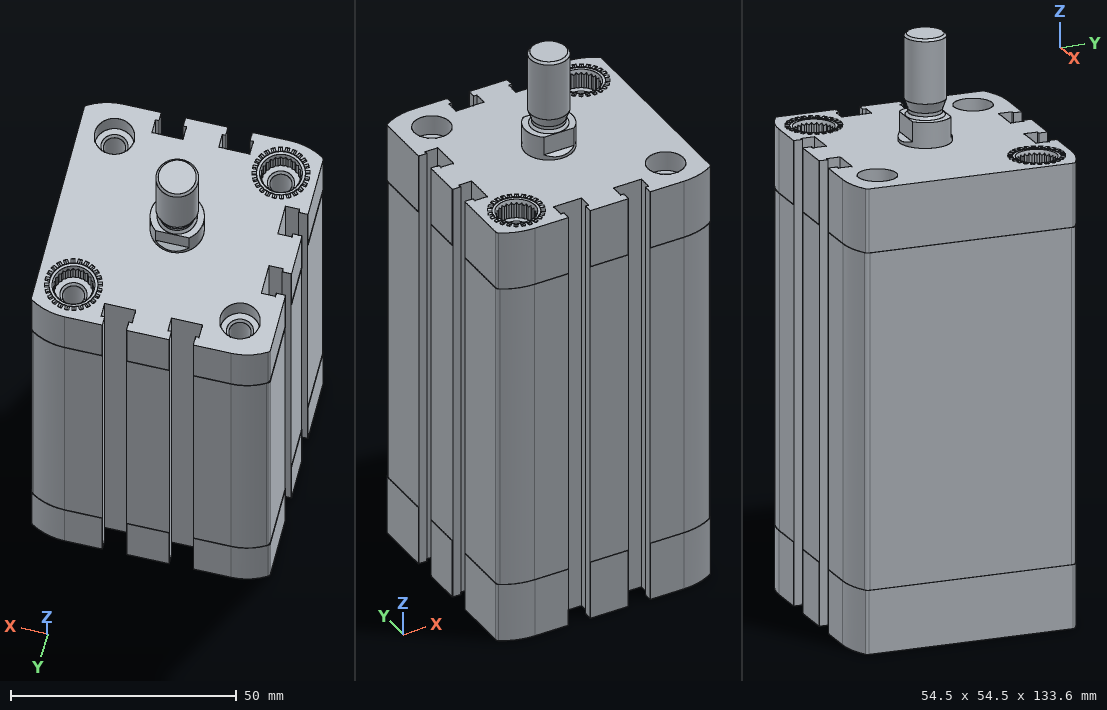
import cadquery as cq
import math


TOTAL_HEIGHT = 133.6
HOUSING_HEIGHT = 108.6
ROD_LENGTH = TOTAL_HEIGHT - HOUSING_HEIGHT

CAP_WIDTH = 54.5
CAP_HEIGHT = 15.0
BARREL_INSET = 0.1
BARREL_WIDTH = CAP_WIDTH - 2 * BARREL_INSET
BARREL_HEIGHT = HOUSING_HEIGHT - 2 * CAP_HEIGHT

HOLE_OFFSET = 19.0
HOLE_DIAMETER = 5.0
HOLE_MOUTH_DIAMETER = 6.0
COUNTERBORE_DIAMETER = 9.0
COUNTERBORE_DEPTH = 5.0

CORNER_START = HOLE_OFFSET
CORNER_RADIUS = 15.0
CAP_EDGE_RADIUS = 0.8
BARREL_EDGE_RADIUS = 1.2

SLOT_SIDE_ANGLES = (90, 180, 270)
SLOT_OFFSET = 7.6
SLOT_DEPTH = 5.3
SLOT_LIP_DEPTH = 2.1
SLOT_INNER_WIDTH = 7.1
SLOT_MOUTH_WIDTH = 5.5
LIP_CHAMFER = BARREL_INSET

TOOTH_COUNT = 24
RIM_DIAMETER = 12.8
RIM_INNER_DIAMETER = 10.8
RIM_DEPTH = 0.3
RIM_GROOVE_WIDTH = 1.0
LEAD_IN_DIAMETER = 9.5
LEAD_IN_DEPTH = 1.5
SERRATION_ROOT_DIAMETER = 9.0
SERRATION_CREST_DIAMETER = 8.5

THREAD_DIAMETER = 9.5
TIP_CHAMFER = 0.5
THREAD_END = 15.1
NECK_DIAMETER = 7.7
NECK_START = 17.5
NECK_END = 18.3
NECK_FOOT_DIAMETER = 9.0
COLLAR_START = 19.0
COLLAR_DIAMETER = 12.0
FLAT_WIDTH = 9.2
FLAT_END = 23.6
LEDGE_DROP = 0.7


def turn(body, angle):
    """Turn a body about the Z axis."""
    return body.rotate((0, 0, 0), (0, 0, 1), angle)


def revolved(profile, height):
    """Solid of revolution about Z; the profile holds (radius, level) points relative to a height."""
    outline = cq.Workplane("XZ", origin=(0, 0, height)).polyline(profile).close()
    return outline.revolve(360, (0, 0), (0, 1))


def top_disc(diameter, depth):
    """Round cutter reaching down from the top face of the housing."""
    return cq.Workplane("XY", origin=(0, 0, HOUSING_HEIGHT - depth)).circle(diameter / 2).extrude(depth)


def rounded_prism(width, height, edge_radius):
    """Square prism whose front and back faces curve away towards the four corners."""
    half = width / 2
    arc_end = half - CORNER_RADIUS + math.sqrt(CORNER_RADIUS**2 - (half - CORNER_START) ** 2)
    prism = (
        cq.Workplane("XY")
        .moveTo(-CORNER_START, -half)
        .lineTo(CORNER_START, -half)
        .radiusArc((half, -arc_end), -CORNER_RADIUS)
        .lineTo(half, arc_end)
        .radiusArc((CORNER_START, half), -CORNER_RADIUS)
        .lineTo(-CORNER_START, half)
        .radiusArc((-half, arc_end), -CORNER_RADIUS)
        .lineTo(-half, -arc_end)
        .radiusArc((-CORNER_START, -half), -CORNER_RADIUS)
        .close()
        .extrude(height)
    )
    for side_face in ("<X", ">X"):
        prism = prism.faces(side_face).edges("|Z").fillet(edge_radius)
    return prism


def t_slot():
    """Full-height cutter for one T-slot that opens on the +X face."""
    face = CAP_WIDTH / 2
    floor = face - SLOT_DEPTH
    lip = face - SLOT_LIP_DEPTH
    inner = SLOT_INNER_WIDTH / 2
    mouth = SLOT_MOUTH_WIDTH / 2
    one_side = [
        (floor, inner),
        (lip, inner),
        (lip, mouth),
        (face - LIP_CHAMFER, mouth),
        (face, mouth + LIP_CHAMFER),
    ]
    other_side = [(x, -y) for x, y in reversed(one_side)]
    return cq.Workplane("XY").polyline(one_side + other_side).close().extrude(HOUSING_HEIGHT)


def through_hole():
    """Cutter for a hole through the housing, with a 45 degree mouth at the counterbore floor."""
    radius = HOLE_DIAMETER / 2
    mouth = HOLE_MOUTH_DIAMETER / 2
    top = HOUSING_HEIGHT - COUNTERBORE_DEPTH
    mouth_bottom = top - (mouth - radius)
    return revolved([(0, 0), (radius, 0), (radius, mouth_bottom), (mouth, top), (0, top)], 0)


def socket_bore():
    """Cutter for the rim recess, the conical lead-in and the bore inside the serration crests."""
    crest = SERRATION_CREST_DIAMETER / 2
    lead_in = LEAD_IN_DIAMETER / 2
    rim = RIM_INNER_DIAMETER / 2
    profile = [
        (0, -COUNTERBORE_DEPTH),
        (crest, -COUNTERBORE_DEPTH),
        (crest, -LEAD_IN_DEPTH),
        (lead_in, -RIM_DEPTH),
        (rim, -RIM_DEPTH),
        (rim, 0),
        (0, 0),
    ]
    return revolved(profile, HOUSING_HEIGHT)


def socket_serrations():
    """Star-shaped cutter for the V-shaped serrations down the socket wall."""
    star = []
    for step in range(2 * TOOTH_COUNT):
        diameter = SERRATION_ROOT_DIAMETER if step % 2 == 0 else SERRATION_CREST_DIAMETER
        angle = math.pi * step / TOOTH_COUNT
        star.append((diameter / 2 * math.cos(angle), diameter / 2 * math.sin(angle)))
    floor = HOUSING_HEIGHT - COUNTERBORE_DEPTH
    return cq.Workplane("XY", origin=(0, 0, floor)).polyline(star).close().extrude(COUNTERBORE_DEPTH - RIM_DEPTH)


def rim_grooves():
    """Cutter for the ring of shallow radial V-grooves around the rim recess."""
    half_width = RIM_GROOVE_WIDTH / 2
    groove = (
        cq.Workplane("YZ", origin=(0, 0, HOUSING_HEIGHT))
        .polyline([(-half_width, 0), (half_width, 0), (0, -RIM_DEPTH)])
        .close()
        .extrude(RIM_DIAMETER / 2, both=True)
    )
    grooves = groove
    for step in range(1, TOOTH_COUNT // 2):
        grooves = grooves.union(turn(groove, 360 / TOOTH_COUNT * step))
    return grooves.intersect(top_disc(RIM_DIAMETER, RIM_DEPTH))


def serrated_socket():
    return socket_bore().union(socket_serrations()).union(rim_grooves())


def make_housing():
    cap = rounded_prism(CAP_WIDTH, CAP_HEIGHT, CAP_EDGE_RADIUS)
    barrel = rounded_prism(BARREL_WIDTH, BARREL_HEIGHT, BARREL_EDGE_RADIUS)
    body = cap.union(barrel.translate((0, 0, CAP_HEIGHT)))
    body = body.union(cap.translate((0, 0, HOUSING_HEIGHT - CAP_HEIGHT)))

    slot = t_slot()
    for side_angle in SLOT_SIDE_ANGLES:
        for offset in (-SLOT_OFFSET, SLOT_OFFSET):
            body = body.cut(turn(slot.translate((0, offset, 0)), side_angle))

    hole = through_hole()
    socket = serrated_socket()
    counterbore = top_disc(COUNTERBORE_DIAMETER, COUNTERBORE_DEPTH)
    for x_side in (-1, 1):
        for y_side in (-1, 1):
            corner = (x_side * HOLE_OFFSET, y_side * HOLE_OFFSET, 0)
            recess = socket if x_side == y_side else counterbore
            body = body.cut(hole.translate(corner)).cut(recess.translate(corner))
    return body


def wrench_flat():
    """Cutter for the +Y wrench flat of the collar, ending below in a sloping ledge."""
    flat = FLAT_WIDTH / 2
    collar = COLLAR_DIAMETER / 2
    outline = [
        (flat, -COLLAR_START),
        (flat, -FLAT_END),
        (collar, -FLAT_END - LEDGE_DROP),
        (collar, -COLLAR_START),
    ]
    plane = cq.Workplane("YZ", origin=(0, 0, TOTAL_HEIGHT))
    return plane.polyline(outline).close().extrude(collar, both=True)


def make_piston_rod():
    thread = THREAD_DIAMETER / 2
    neck = NECK_DIAMETER / 2
    neck_foot = NECK_FOOT_DIAMETER / 2
    collar = COLLAR_DIAMETER / 2
    profile = [
        (0, 0),
        (thread - TIP_CHAMFER, 0),
        (thread, -TIP_CHAMFER),
        (thread, -THREAD_END),
        (neck, -NECK_START),
        (neck, -NECK_END),
        (neck_foot, -COLLAR_START),
        (collar, -COLLAR_START),
        (collar, -ROD_LENGTH),
        (0, -ROD_LENGTH),
    ]
    flat = wrench_flat()
    return revolved(profile, TOTAL_HEIGHT).cut(flat).cut(turn(flat, 180))


housing = make_housing()
piston_rod = make_piston_rod()
result = cq.Compound.makeCompound([housing.val(), piston_rod.val()])